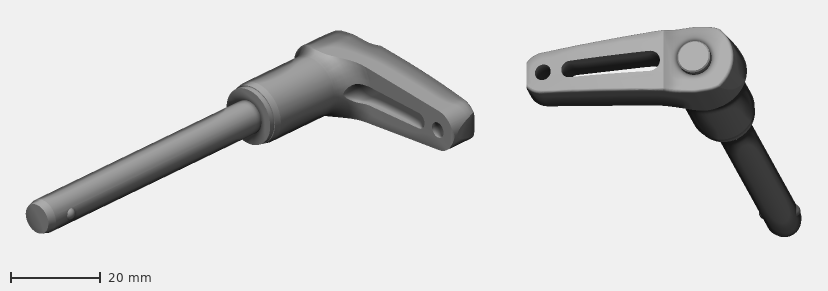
import math

import cadquery as cq


pin_radius = 4.0
pin_length = 68.0
tip_flat_radius = 3.5
tip_taper_length = 1.9
ball_radius = 1.5
ball_protrusion = 0.7
ball_to_tip = 6.8

sleeve_radius = 7.25
sleeve_taper_start = 2.9
sleeve_taper_radius = 6.95
collar_radius = 6.75
collar_length = 1.3
flare_start = 20.05
flare_radius = 5.7

hub_radius = 7.91
heel_radius = 7.7
heel_x = -2.2
end_radius = 4.92
end_x = 34.88

underside_slope_deg = 2.9
head_top = 34.2
rise_start_x = 3.2
rise_end_x = 7.0
crest_height = 35.3
rise_radius = 6.3
arm_top_mid = (23.0, 34.45)
arm_top_end = (38.7, 32.4)
tip_foot_x = 44.1
arm_corner_radius = 0.8
rim_fillet = 0.6

back_radius = 9.24
back_lean_deg = 8.1
back_foot_y = 25.0

slot_start_x = 10.2
slot_start_radius = 2.4
slot_end_x = 28.6
slot_end_radius = 1.95
lanyard_hole_radius = 1.85

button_radius = 3.75
button_top = 36.0
button_chamfer = 0.3

blank_half_width = 12.0
blank_height = 40.0
blank_radius = 50.0

heel_end_x = heel_x - heel_radius
flare_center_radius = sleeve_radius + flare_radius
head_base = flare_start + flare_radius


def tangent_points(x1, radius1, x2, radius2):
    """Upper points where the outer tangent touches two circles centred on the X axis."""
    angle = math.asin((radius1 - radius2) / (x2 - x1))
    return [(x + r * math.sin(angle), r * math.cos(angle)) for x, r in ((x1, radius1), (x2, radius2))]


def mirrored(point):
    """The point reflected across the X axis."""
    return (point[0], -point[1])


def handle_outline():
    """Prism of the rounded, tapered handle outline along the pin axis."""
    heel_point, hub_left = tangent_points(heel_x, heel_radius, 0, hub_radius)
    hub_right, end_point = tangent_points(0, hub_radius, end_x, end_radius)
    return (
        cq.Workplane("XZ")
        .moveTo(*heel_point)
        .lineTo(*hub_left)
        .threePointArc((0, hub_radius), hub_right)
        .lineTo(*end_point)
        .threePointArc((end_x + end_radius, 0), mirrored(end_point))
        .lineTo(*mirrored(hub_right))
        .threePointArc((0, -hub_radius), mirrored(hub_left))
        .lineTo(*mirrored(heel_point))
        .threePointArc((heel_end_x, 0), heel_point)
        .close()
        .extrude(-blank_height)
    )


def handle_profile():
    """Head and arm seen along Z, wider than the outline and deeper than the underside."""
    return (
        cq.Workplane("XY")
        .moveTo(-blank_half_width, 0)
        .lineTo(tip_foot_x, 0)
        .lineTo(*arm_top_end)
        .threePointArc(arm_top_mid, (rise_end_x, crest_height))
        .radiusArc((rise_start_x, head_top), rise_radius)
        .lineTo(-blank_half_width, head_top)
        .close()
        .extrude(blank_half_width, both=True)
    )


def flared_underside():
    """Solid of revolution bounded below by the concave flare and the shallow cone tangent to it."""
    slope = math.radians(underside_slope_deg)
    arc_end_radius = flare_center_radius + flare_radius * math.sin(slope)
    arc_end_y = flare_start + flare_radius * math.cos(slope)
    arc_half = flare_radius * math.sqrt(0.5)
    return (
        cq.Workplane("XY")
        .moveTo(0, flare_start)
        .lineTo(sleeve_radius, flare_start)
        .threePointArc(
            (flare_center_radius - arc_half, flare_start + arc_half),
            (arc_end_radius, arc_end_y),
        )
        .lineTo(blank_radius, arc_end_y - (blank_radius - arc_end_radius) * math.tan(slope))
        .lineTo(blank_radius, blank_height)
        .lineTo(0, blank_height)
        .close()
        .revolve(360, (0, 0, 0), (0, 1, 0))
    )


def back_trim():
    """Material behind the leaning cylinder that forms the sloped back of the head."""
    lean = math.radians(back_lean_deg)
    axis_foot = cq.Vector(heel_end_x + back_radius / math.cos(lean), back_foot_y, 0)
    axis = cq.Vector(math.sin(lean), math.cos(lean), 0)
    cylinder = cq.Solid.makeCylinder(
        back_radius, 2 * blank_height, axis_foot - axis * blank_height, axis
    )
    blank = cq.Workplane("XY").box(
        blank_half_width, blank_height, 2 * blank_half_width, centered=(False, False, True)
    )
    return blank.translate((-blank_half_width, flare_start, 0)).cut(cq.Workplane(cylinder))


def arm_openings():
    """Tapered slot and lanyard hole, both through the arm along Y."""
    start_point, end_point = tangent_points(
        slot_start_x, slot_start_radius, slot_end_x, slot_end_radius
    )
    slot = (
        cq.Workplane("XZ")
        .moveTo(*start_point)
        .lineTo(*end_point)
        .threePointArc((slot_end_x + slot_end_radius, 0), mirrored(end_point))
        .lineTo(*mirrored(start_point))
        .threePointArc((slot_start_x - slot_start_radius, 0), start_point)
        .close()
        .extrude(-blank_height)
    )
    hole = cq.Workplane("XZ").center(end_x, 0).circle(lanyard_hole_radius).extrude(-blank_height)
    return slot.union(hole)


def handle():
    """Complete handle with a rounded tip corner and a rounded rim around its top."""
    body = handle_profile().intersect(flared_underside())
    body = body.faces(">X").edges("<Y").fillet(arm_corner_radius)
    body = body.intersect(handle_outline()).cut(back_trim())
    rim = cq.selectors.BoxSelector(
        (-blank_half_width, arm_top_end[1] - rim_fillet, -blank_half_width),
        (blank_height, blank_height, blank_half_width),
    )
    body = body.edges(rim).edges("not |Z").fillet(rim_fillet)
    return body.cut(arm_openings())


def sleeve_and_pin():
    """Turned body: tapered pin tip, pin, stepped sleeve."""
    return (
        cq.Workplane("XY")
        .moveTo(0, -pin_length)
        .lineTo(tip_flat_radius, -pin_length)
        .lineTo(pin_radius, tip_taper_length - pin_length)
        .lineTo(pin_radius, 0)
        .lineTo(collar_radius, 0)
        .lineTo(collar_radius, collar_length)
        .lineTo(sleeve_taper_radius, collar_length)
        .lineTo(sleeve_radius, sleeve_taper_start)
        .lineTo(sleeve_radius, flare_start)
        .lineTo(0, flare_start)
        .close()
        .revolve(360, (0, 0, 0), (0, 1, 0))
    )


def locking_balls():
    """Two balls standing proud of the pin on either side of its tip."""
    ball_x = pin_radius + ball_protrusion - ball_radius
    balls = cq.Workplane("XY").pushPoints([(-ball_x, 0), (ball_x, 0)]).sphere(ball_radius)
    return balls.translate((0, ball_to_tip - pin_length, 0))


def release_button():
    """Chamfered button rising from the core of the head."""
    return (
        cq.Workplane("XZ", origin=(0, head_base, 0))
        .circle(button_radius)
        .extrude(head_base - button_top)
        .faces(">Y")
        .chamfer(button_chamfer)
    )


result = handle().union(sleeve_and_pin()).union(locking_balls()).union(release_button())